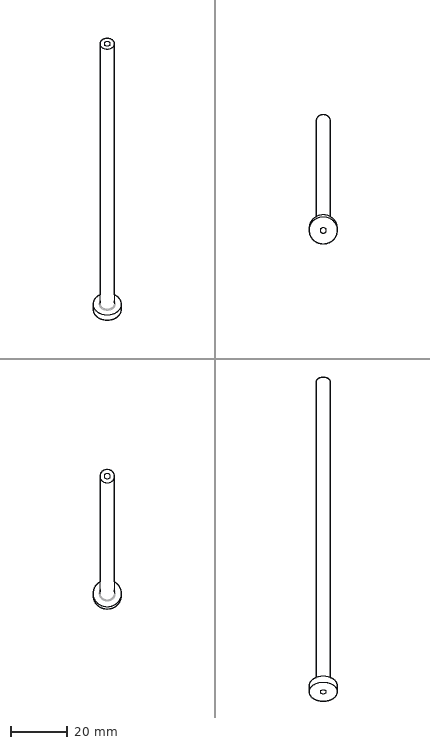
import cadquery as cq

total_length = 150.0
head_diameter = 10.0
head_height = 3.0
shank_diameter = 5.1
bore_diameter = 2.1
neck_fillet = 0.3

head = cq.Workplane("XY").circle(head_diameter / 2).extrude(head_height)
shank = cq.Workplane("XY").circle(shank_diameter / 2).extrude(total_length)
pin = head.union(shank)

neck_edge = pin.faces("|Z").faces(">Z[1]").edges(cq.selectors.RadiusNthSelector(0))
pin = neck_edge.fillet(neck_fillet)

bore = cq.Workplane("XY").circle(bore_diameter / 2).extrude(total_length)

result = pin.cut(bore)